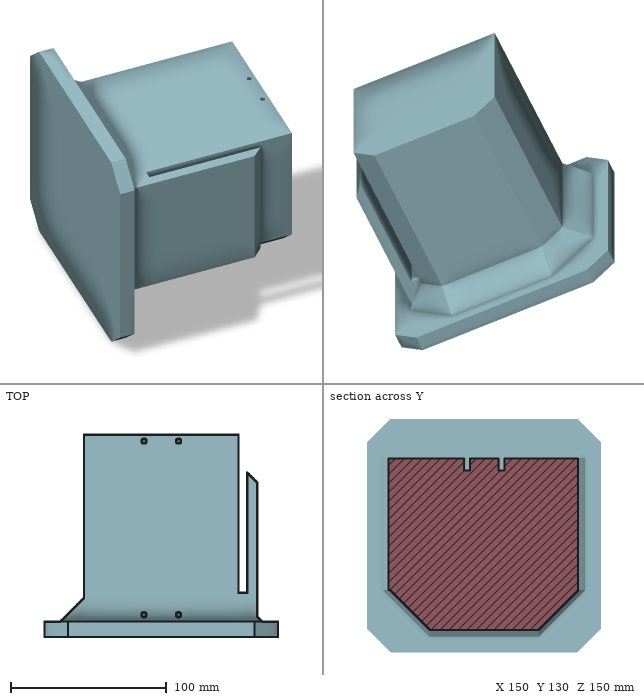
import cadquery as cq

plate_size = 150.0
plate_thickness = 10.0
plate_chamfer = 15.0

block_size = 99.5
block_length = 120.0
block_chamfer = 14.7

flare = 15.0

slot_width = 5.4
slot_floor = 18.6
arm_thickness = 6.6
arm_length = 95.7

hole_diameter = 3.3
hole_depth = 7.5
hole_spacing = 22.2
hole_rows = (4.4, 115.8)

half_block = block_size / 2


def make_plate():
    plate = cq.Workplane("XY").box(plate_size, plate_thickness, plate_size, centered=(True, False, True))
    return plate.edges("|Y").chamfer(plate_chamfer)


def block_section(y, growth):
    """Closed block outline at depth y, grown sideways and downward."""
    side = half_block + growth
    chamfer_top = -half_block + block_chamfer
    chamfer_side = half_block - block_chamfer
    points = [
        (-side, half_block),
        (side, half_block),
        (side, chamfer_top),
        (chamfer_side, -side),
        (-chamfer_side, -side),
        (-side, chamfer_top),
    ]
    return cq.Wire.makePolygon([cq.Vector(x, y, z) for x, z in points], close=True)


def make_block():
    flare_back = plate_thickness + flare
    flare_solid = cq.Solid.makeLoft(
        [block_section(plate_thickness, flare), block_section(flare_back, 0)], True
    )
    block = cq.Solid.extrudeLinear(
        block_section(plate_thickness, 0), [], cq.Vector(0, block_length, 0)
    )
    return cq.Workplane(obj=block).union(cq.Workplane(obj=flare_solid))


def make_arm():
    """L-shaped bracket whose arm has a 45 degree tip; it spans the flat side of the block."""
    inner = half_block + slot_width
    outer = inner + arm_thickness
    floor = plate_thickness + slot_floor
    tip = plate_thickness + arm_length
    height = block_size - block_chamfer
    return (
        cq.Workplane("XY", origin=(0, 0, half_block))
        .moveTo(0, plate_thickness)
        .lineTo(outer, plate_thickness)
        .lineTo(outer, tip - arm_thickness)
        .lineTo(inner, tip)
        .lineTo(inner, floor)
        .lineTo(0, floor)
        .close()
        .extrude(-height)
    )


def make_holes():
    centers = [
        (side * hole_spacing / 2, plate_thickness + row)
        for side in (-1, 1)
        for row in hole_rows
    ]
    return (
        cq.Workplane("XY", origin=(0, 0, half_block))
        .pushPoints(centers)
        .circle(hole_diameter / 2)
        .extrude(-hole_depth)
    )


result = make_plate().union(make_block()).union(make_arm()).cut(make_holes())